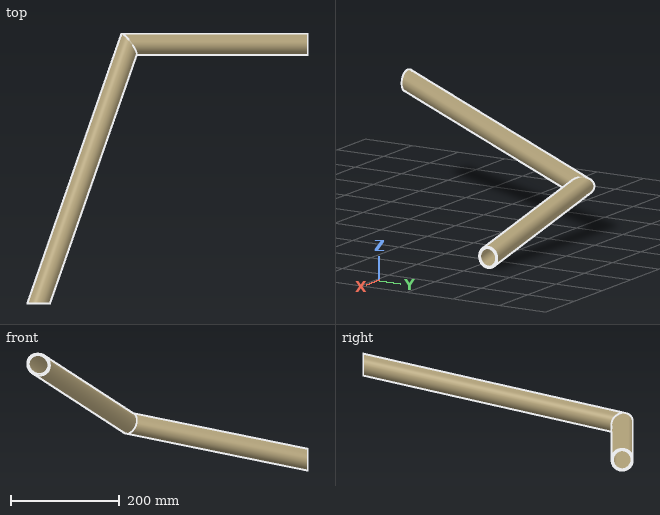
import cadquery as cq

outer_diameter = 40.0
wall = 3.0

long_leg_end = cq.Vector(-166.5, -477.5, 108.0)
short_leg_end = cq.Vector(329.5, 0, -67.5)

overrun = 1.1


def mitred_rod(diameter):
    """Round bar along the overlong centreline, with a sharp mitre at the corner."""
    start = long_leg_end * overrun
    end = short_leg_end * overrun
    path = cq.Workplane("XY").polyline([start.toTuple(), (0, 0, 0), end.toTuple()])
    section = cq.Workplane(cq.Plane(origin=start, normal=-start)).circle(diameter / 2)
    return section.sweep(path, transition="right")


def end_trim():
    """Block whose -Y face ends the long leg and whose +X face ends the short leg."""
    block_size = 4 * max(long_leg_end.Length, short_leg_end.Length)
    return (
        cq.Workplane("XY")
        .box(block_size, block_size, block_size, centered=(False, False, True))
        .translate((short_leg_end.x - block_size, long_leg_end.y, 0))
    )


tube = mitred_rod(outer_diameter).cut(mitred_rod(outer_diameter - 2 * wall))
result = tube.intersect(end_trim())